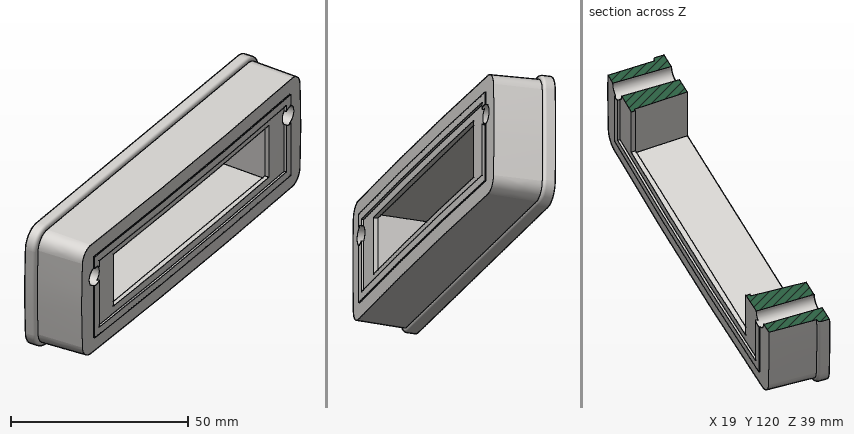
import cadquery as cq
import math

flange_length = 120.0
flange_height = 39.0
flange_thickness = 3.5
flange_edge_radius = 1.0
corner_radius = 6.0
end_bow = 0.7

body_inset = 1.2
body_draft = 0.5
crown_edge_x = 17.9
crown_middle_x = 18.6

frame_length = 104.4
frame_height = 26.6
frame_width = 2.4
frame_rise = 0.4
panel_recess = 0.4

pocket_length = 85.9
pocket_floor_length = 84.2
pocket_height = 19.9
pocket_depth = 16.5
opening_length = 82.8
opening_height = 17.0

hole_diameter = 5.8
hole_spacing = 103.2
hole_height = 6.7

total_depth = crown_middle_x + frame_rise


def bowed_outline(inset):
    """Rounded rectangle with bowed short ends, set in from the flange edge."""
    half_length = flange_length / 2 - inset
    half_height = flange_height / 2 - inset
    corner_y = half_length - end_bow
    return (
        cq.Sketch()
        .segment((-corner_y, half_height), (corner_y, half_height))
        .arc((corner_y, half_height), (half_length, 0), (corner_y, -half_height))
        .segment((corner_y, -half_height), (-corner_y, -half_height))
        .arc((-corner_y, -half_height), (-half_length, 0), (-corner_y, half_height))
        .assemble()
        .vertices()
        .fillet(corner_radius - inset)
    )


def below_crown(offset):
    """Solid filling everything on the -X side of the crown, shifted along X."""
    half_length = flange_length / 2
    edge_x = crown_edge_x + offset
    return (
        cq.Workplane("XY")
        .moveTo(0, -half_length)
        .lineTo(edge_x, -half_length)
        .threePointArc((crown_middle_x + offset, 0), (edge_x, half_length))
        .lineTo(0, half_length)
        .close()
        .extrude(flange_height / 2, both=True)
    )


def block(start_x, length, height):
    """Rectangular block centred on the X axis, from start_x past the far face."""
    return cq.Workplane("YZ", origin=(start_x, 0, 0)).rect(length, height).extrude(total_depth)


def make_flange():
    flange = cq.Workplane("YZ").placeSketch(bowed_outline(0)).extrude(flange_thickness)
    return flange.faces(">X").edges().fillet(flange_edge_radius)


def make_body():
    body_depth = total_depth - flange_thickness
    draft_angle = math.degrees(math.atan(body_draft / body_depth))
    body = (
        cq.Workplane("YZ", origin=(flange_thickness, 0, 0))
        .placeSketch(bowed_outline(body_inset))
        .extrude(body_depth, taper=draft_angle)
    )
    return body.intersect(below_crown(0))


def make_frame():
    bar = block(flange_thickness, frame_length, frame_height)
    return bar.intersect(below_crown(frame_rise))


def make_panel_recess():
    panel_length = frame_length - 2 * frame_width
    panel_height = frame_height - 2 * frame_width
    return block(flange_thickness, panel_length, panel_height).cut(below_crown(-panel_recess))


def make_window():
    """Pocket whose short walls lean inward, plus the opening through its lip."""
    half_mouth = pocket_length / 2
    half_floor = pocket_floor_length / 2
    pocket = (
        cq.Workplane("XY")
        .polyline([
            (0, -half_mouth),
            (pocket_depth, -half_floor),
            (pocket_depth, half_floor),
            (0, half_mouth),
        ])
        .close()
        .extrude(pocket_height / 2, both=True)
    )
    return pocket.union(block(0, opening_length, opening_height))


def make_holes():
    return (
        cq.Workplane("YZ")
        .pushPoints([(side * hole_spacing / 2, hole_height) for side in (-1, 1)])
        .circle(hole_diameter / 2)
        .extrude(total_depth)
    )


result = (
    make_flange()
    .union(make_body())
    .union(make_frame())
    .cut(make_panel_recess())
    .cut(make_window())
    .cut(make_holes())
)